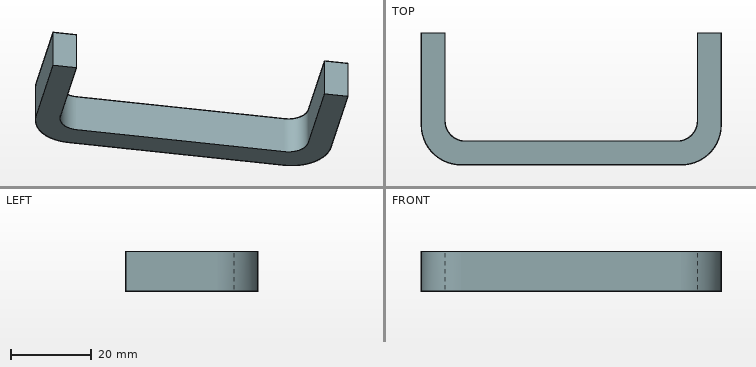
import cadquery as cq

length = 75.0
depth = 33.0
height = 10.0

bar_thickness = 6.0
outer_radius = 10.0
inner_radius = 5.0


def rounded_block(width, front_y, radius):
    """Block reaching from front_y back to the leg ends, with rounded front corners."""
    block_depth = depth - front_y
    return (
        cq.Workplane("XY")
        .center(0, front_y + block_depth / 2)
        .rect(width, block_depth)
        .extrude(height)
        .edges("|Z and <Y")
        .fillet(radius)
    )


outer_block = rounded_block(length, 0.0, outer_radius)
hand_opening = rounded_block(length - 2 * bar_thickness, bar_thickness, inner_radius)

result = outer_block.cut(hand_opening)